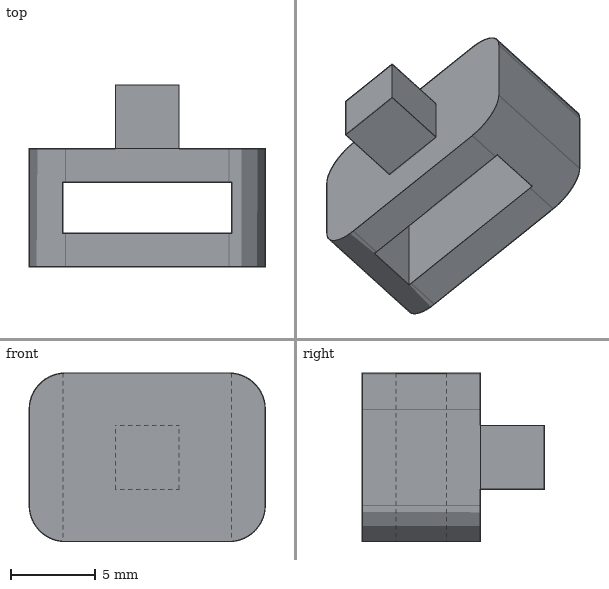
import cadquery as cq

body_width = 14.0
body_depth = 7.0
body_height = 10.0
corner_radius = 2.16

slot_width = 10.0
wall_thickness = 2.0
slot_depth = body_depth - 2 * wall_thickness

peg_side = 3.79
peg_length = peg_side


def make_body():
    """Rounded block centred on the origin."""
    block = cq.Workplane("XY").box(body_width, body_depth, body_height)
    return block.edges("|Y").fillet(corner_radius)


def make_slot():
    """Rectangular cutter spanning the full body height."""
    return cq.Workplane("XY").box(slot_width, slot_depth, body_height)


def add_peg(body):
    """Body with a square peg rising from the centre of the body's +Y face."""
    rear_face = body.faces(">Y").workplane(centerOption="CenterOfBoundBox")
    return rear_face.rect(peg_side, peg_side).extrude(peg_length)


result = add_peg(make_body()).cut(make_slot())